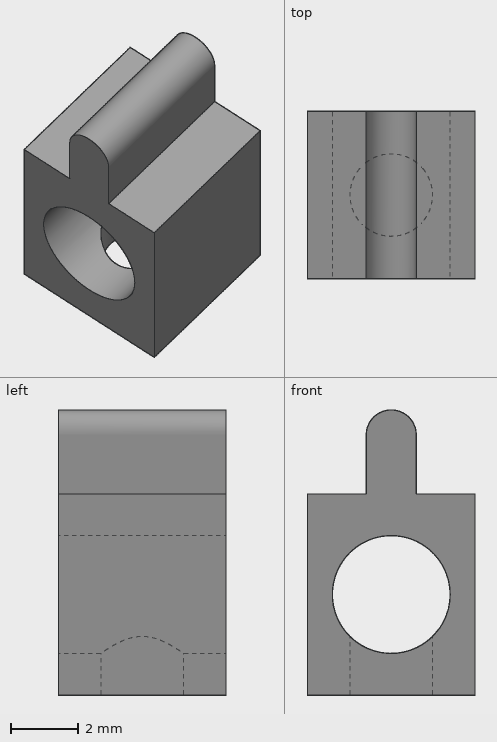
import cadquery as cq

body_side = 5.0
total_height = 8.5
body_height = 6.0

rib_width = 1.5
rib_radius = rib_width / 2

main_bore_diameter = 3.5
bore_height = body_height / 2
bottom_bore_diameter = 2.46


def make_body():
    """Square block standing on Z = 0, centred on the Z axis."""
    return cq.Workplane("XY").box(body_side, body_side, body_height, centered=(True, True, False))


def make_rib():
    """Rib with a full-round crest, running the whole depth of the block."""
    shoulder = total_height - rib_radius
    return (
        cq.Workplane("XZ")
        .moveTo(-rib_radius, body_height)
        .lineTo(-rib_radius, shoulder)
        .threePointArc((0, total_height), (rib_radius, shoulder))
        .lineTo(rib_radius, body_height)
        .close()
        .extrude(body_side / 2, both=True)
    )


def make_main_bore():
    """Through bore along Y at mid-height of the block."""
    return (
        cq.Workplane("XZ")
        .center(0, bore_height)
        .circle(main_bore_diameter / 2)
        .extrude(body_side / 2, both=True)
    )


def make_bottom_bore():
    """Vertical bore from the underside of the block up into the main bore."""
    return cq.Workplane("XY").circle(bottom_bore_diameter / 2).extrude(bore_height)


result = make_body().union(make_rib()).cut(make_main_bore()).cut(make_bottom_bore())